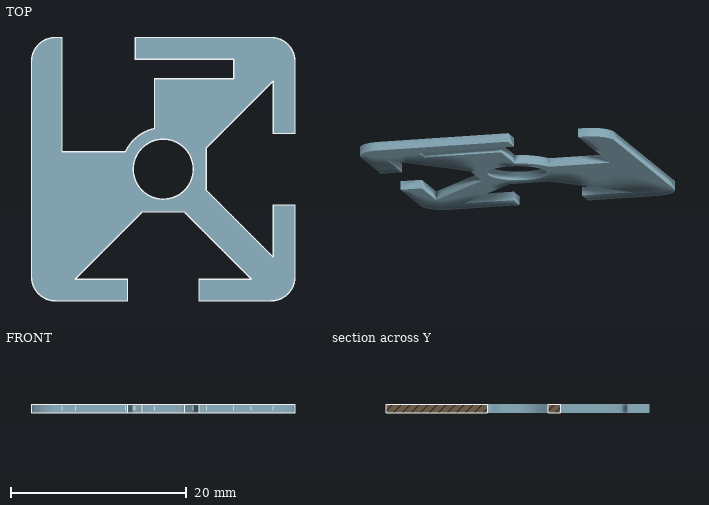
import cadquery as cq

side = 30.0
thickness = 1.0
corner_radius = 2.75
bore_diameter = 6.8
half = side / 2

lip_thickness = 2.5
slot_opening = 8.1
core_face = 4.9
web_offset = 2.5
lip_inner = half - lip_thickness

outer_wall = 3.5
pocket_left = -half + outer_wall
pocket_right = -1.0
pocket_floor = 2.0
boss_radius = 4.75

channel_width = 2.2
channel_end = 8.0
channel_floor = lip_inner - channel_width
top_wall_start = -3.2


def prism(sketch):
    """Extrude a closed outline through the plate."""
    return sketch.extrude(thickness)


def box_cut(x_min, x_max, y_min, y_max):
    """Rectangular cutter through the plate."""
    outline = cq.Workplane("XY").moveTo(x_min, y_min).lineTo(x_max, y_min)
    return prism(outline.lineTo(x_max, y_max).lineTo(x_min, y_max).close())


def t_slot(angle):
    """T-slot cutter opening towards +X, turned about the bore axis by angle degrees."""
    half_opening = slot_opening / 2
    upper = [
        (core_face, core_face - web_offset),
        (lip_inner, lip_inner - web_offset),
        (lip_inner, half_opening),
        (half, half_opening),
    ]
    lower = [(x, -y) for x, y in reversed(upper)]
    cutter = prism(cq.Workplane("XY").polyline(upper + lower).close())
    return cutter.rotate((0, 0, 0), (0, 0, 1), angle)


def corner_pocket():
    """Pocket and channel cutter, leaving the ring around the bore."""
    pocket = box_cut(pocket_left, pocket_right, pocket_floor, channel_floor)
    mouth = box_cut(pocket_left, top_wall_start, channel_floor, half)
    channel = box_cut(top_wall_start, channel_end, channel_floor, lip_inner)
    boss = prism(cq.Workplane("XY").circle(boss_radius))
    return pocket.union(mouth).union(channel).cut(boss)


plate = prism(cq.Workplane("XY").rect(side, side)).edges("|Z").fillet(corner_radius)
for slot_angle in (0, -90):
    plate = plate.cut(t_slot(slot_angle))
plate = plate.cut(corner_pocket())
result = plate.cut(prism(cq.Workplane("XY").circle(bore_diameter / 2)))